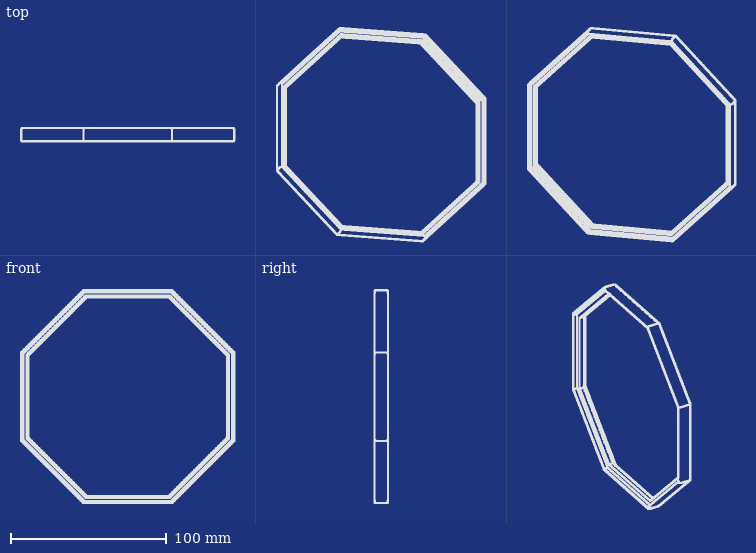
import cadquery as cq
import math

sides = 8
across_flats = 136.8
depth = 8.8
half_side_angle = 180 / sides
front_y = -depth / 2

rim_width = 1.4
edge_radius = 1.1
opening_inset = 4.7
lip_inset = 3.4
lip_depth = 3.0
floor_depth = 3.8
back_recess_depth = 2.7


def octagon_prism(inset, start_depth, end_depth):
    """Solid octagon with its flats set in by inset, between two depths behind the front."""
    flats = across_flats - 2 * inset
    corner_diameter = flats / math.cos(math.pi / sides)
    return (
        cq.Workplane("XZ", origin=(0, front_y + start_depth, 0))
        .transformed(rotate=(0, 0, half_side_angle))
        .polygon(sides, corner_diameter)
        .extrude(-(end_depth - start_depth))
    )


body = octagon_prism(0, 0, depth).faces("<Y or >Y").edges().fillet(edge_radius)

recess = octagon_prism(rim_width, 0, floor_depth)
lip = octagon_prism(lip_inset, lip_depth, floor_depth)

back_recess = octagon_prism(rim_width, depth - back_recess_depth, depth)

opening = octagon_prism(opening_inset, 0, depth)

result = body.cut(recess.cut(lip)).cut(back_recess).cut(opening)